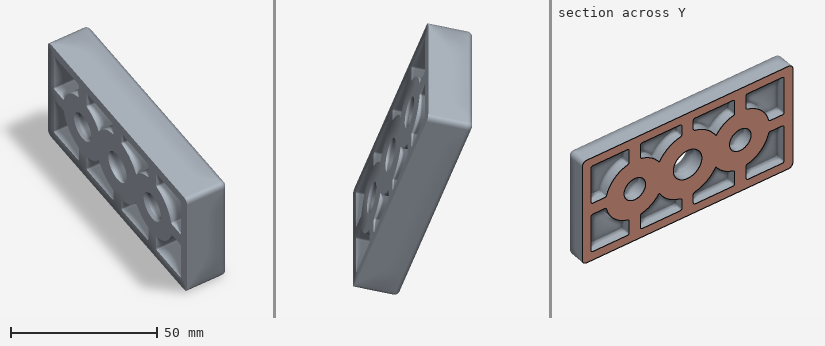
import cadquery as cq

LENGTH = 90
DEPTH = 16.2
HEIGHT = 45
EDGE_RADIUS = 2.0

RIM_WALL = 3.9
BACK_WALL = 4.0
RIB_WIDTH = 5.0
POCKET_RADIUS = 0.7

HOLE_SPACING = LENGTH / 4
CENTER_BOSS_DIAMETER = 27.9
SIDE_BOSS_DIAMETER = 25.0
CENTER_HOLE_DIAMETER = 12.0
SIDE_HOLE_DIAMETER = 9
SIDE_HOLE_CHAMFER = 1.1

POCKET_DEPTH = DEPTH - BACK_WALL
CREASE_LIMIT = HEIGHT / 4
SIDE_POSITIONS = [(-HOLE_SPACING, 0), (HOLE_SPACING, 0)]
RIB_POSITIONS = [(-HOLE_SPACING, 0), (0, 0), (HOLE_SPACING, 0)]


def front_plane():
    """Workplane on the open face; sketches extruded by a negative length go into the block."""
    return cq.Workplane("XZ", origin=(0, -DEPTH / 2, 0))


def make_block():
    """Block with its four corners along Y and its back edge rounded."""
    block = front_plane().rect(LENGTH, HEIGHT).extrude(-DEPTH)
    return block.edges("|Y").fillet(EDGE_RADIUS).faces(">Y").edges().fillet(EDGE_RADIUS)


def make_pockets():
    """Hollow inside the rim, split up by the ribs and the bosses."""
    inner_length = LENGTH - 2 * RIM_WALL
    inner_height = HEIGHT - 2 * RIM_WALL
    hollow = front_plane().rect(inner_length, inner_height).extrude(-POCKET_DEPTH)
    upright_ribs = front_plane().pushPoints(RIB_POSITIONS).rect(RIB_WIDTH, HEIGHT).extrude(-DEPTH)
    long_rib = front_plane().rect(LENGTH, RIB_WIDTH).extrude(-DEPTH)
    hollow = hollow.cut(upright_ribs).cut(long_rib)
    center_boss = front_plane().circle(CENTER_BOSS_DIAMETER / 2).extrude(-DEPTH)
    side_bosses = front_plane().pushPoints(SIDE_POSITIONS).circle(SIDE_BOSS_DIAMETER / 2).extrude(-DEPTH)
    pockets = hollow.cut(center_boss).cut(side_bosses)
    creases = cq.selectors.BoxSelector(
        (-HOLE_SPACING, -DEPTH, -CREASE_LIMIT), (HOLE_SPACING, DEPTH, CREASE_LIMIT)
    )
    corners = cq.selectors.ParallelDirSelector(cq.Vector(0, 1, 0)) - creases
    return pockets.edges(corners).fillet(POCKET_RADIUS)


def make_holes():
    """Through holes; the two side holes are chamfered at the open face."""
    center_hole = front_plane().circle(CENTER_HOLE_DIAMETER / 2).extrude(-DEPTH)
    side_holes = front_plane().pushPoints(SIDE_POSITIONS).circle(SIDE_HOLE_DIAMETER / 2).extrude(-DEPTH)
    hole_radius = SIDE_HOLE_DIAMETER / 2
    mouth_radius = hole_radius + SIDE_HOLE_CHAMFER
    for x, z in SIDE_POSITIONS:
        mouth = cq.Vector(x, -DEPTH / 2, z)
        chamfer = cq.Solid.makeCone(mouth_radius, hole_radius, SIDE_HOLE_CHAMFER, mouth, cq.Vector(0, 1, 0))
        side_holes = side_holes.union(cq.Workplane(chamfer))
    return center_hole.union(side_holes)


result = make_block().cut(make_pockets()).cut(make_holes())